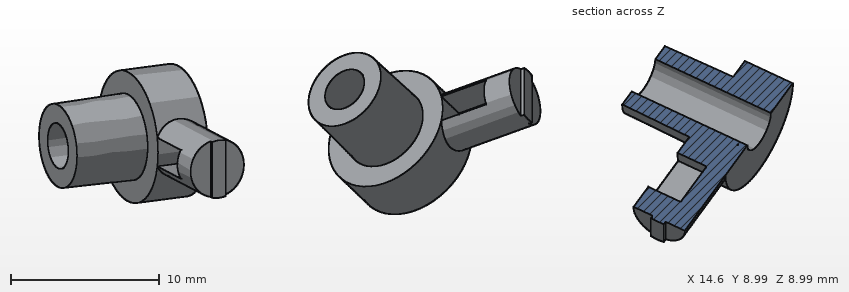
import cadquery as cq

ring_diameter = 8.99
ring_front = -1.74
spigot_root_diameter = 5.89
spigot_tip_diameter = 5.71
spigot_length = 5.25
bore_diameter = 3.1

arm_radius = 2.0
overall_length = 14.64
tab_length = 0.25
tab_thickness = 1.02

pocket_end = 7.9
pocket_width = 1.99
pocket_floor = 0.51

ring_back = arm_radius
spigot_front = ring_front - spigot_length
arm_tip = overall_length - ring_diameter / 2
arm_shoulder = arm_tip - tab_length


def axial_profile(points):
    """Revolve a (radius, Y) outline about the Y axis."""
    return cq.Workplane("XY").polyline(points).close().revolve(360, (0, 0, 0), (0, 1, 0))


def make_ring_and_spigot():
    """Flat ring with a slightly tapered spigot on its front face."""
    return axial_profile([
        (0, ring_back),
        (ring_diameter / 2, ring_back),
        (ring_diameter / 2, ring_front),
        (spigot_root_diameter / 2, ring_front),
        (spigot_tip_diameter / 2, spigot_front),
        (0, spigot_front),
    ])


def make_arm():
    """Round arm along +X, reduced at its tip to a thin central tab."""
    arm = cq.Workplane("YZ").circle(arm_radius).extrude(arm_tip)
    tip_zone = (
        cq.Workplane("YZ", origin=(arm_shoulder, 0, 0))
        .rect(2 * arm_radius, 2 * arm_radius)
        .rect(tab_thickness, 2 * arm_radius)
        .extrude(tab_length)
    )
    return arm.cut(tip_zone)


def make_pocket():
    """Rectangular pocket in the front of the arm, starting under the ring."""
    depth = pocket_floor + arm_radius
    block = cq.Workplane("XY").box(pocket_end, depth, pocket_width, centered=(False, False, True))
    return block.translate((0, -arm_radius, 0))


def make_bore():
    """Through bore along the ring axis."""
    return (
        cq.Workplane("XZ", origin=(0, ring_back, 0))
        .circle(bore_diameter / 2)
        .extrude(ring_back - spigot_front)
    )


arm_with_pocket = make_arm().cut(make_pocket())
result = make_ring_and_spigot().union(arm_with_pocket).cut(make_bore())